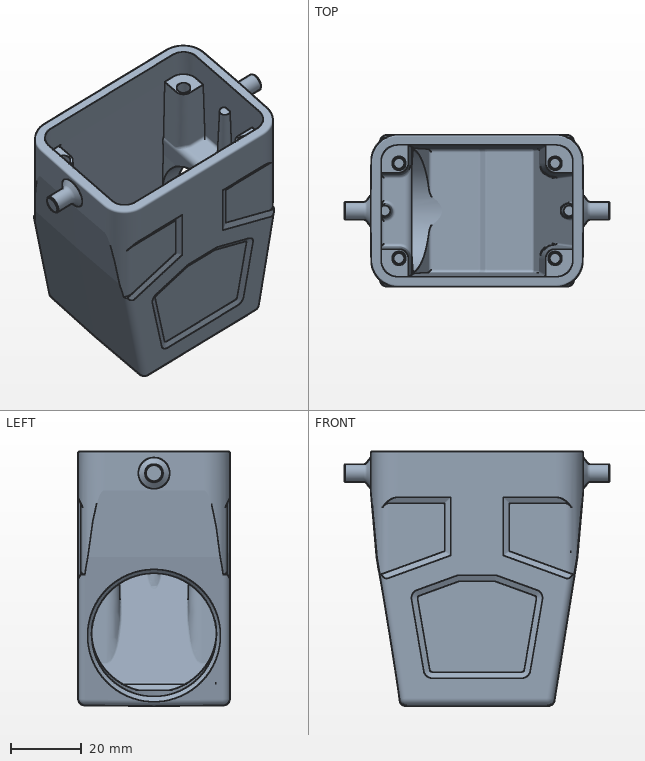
import cadquery as cq
import math

height = 72
half_depth = 43.0 / 2
pin_span = 75

foot_half, knee_half, rim_half = 21.7, 28.4, 30.1
knee_z, shoulder_z = 42.15, 61.0
end_draft = 0.6
column_radius = 7.6
edge_radius = 2.0
rim_radius = 0.6

panel_depth = 0.8
bevel_width = 1.7
grip_corner_radius = 0.6
grip_blend_radius = 3
grip_inner_x = 7.4
grip_top_z = 59.0
grip_low_z = 42.6
panel_draft = math.degrees(math.atan(bevel_width / panel_depth))
brow_slope = math.tan(math.radians(20))
badge_top_half, badge_top_z = 5.3, 37.05
badge_side_half = 18.8
badge_foot_half, badge_foot_z = 14.7, 7.95
badge_radius = 2.4

mouth_half_x, mouth_half_y = 27.1, 18.6
mouth_radius = 4.65
post_top_z = 62.85
floor_half_y = 17.4
floor_z, raised_floor_z = 4.5, 6.2
step_x = 0.75
far_wall_foot_x, far_wall_top_z = 15.9, 45.75
ledge_z, ledge_x = 42, -18.4
ledge_radius = 2.0
ledge_root_radius = 0.9
ledge_foot_x, ledge_slope_z = -13.4, 19.5
floor_radius = 0.9

screw_x, screw_y = 22.05, 13.4
post_radius = 2.6
post_draft = 2.1
root_radius = 0.6
screw_mouth_radius, screw_foot_radius, screw_depth = 1.95, 1.5, 11.25
rib_x, rib_radius, rib_top_z, rib_draft = 26.0, 1.5, 61.5, 2

entry_radius, entry_mouth_radius = 17.6, 19.0
entry_z = 19.95
entry_length = 16.5
pin_radius, pin_z, pin_edge = 2.55, 65.85, 0.3
pin_root_radius, pin_root_x = 4.4, 31.5
pin_root_blend = 0.9

over = 7.5


def near_box(x_min, x_max, z_min, z_max, half_y=half_depth):
    """Selector for edges centred in a box that is symmetric about the parting plane."""
    slack = 0.1
    return cq.selectors.BoxSelector((x_min - slack, -half_y - slack, z_min - slack),
                                    (x_max + slack, half_y + slack, z_max + slack))


def hood_block():
    """Tapered block, drafted both ways from the parting plane, with rounded lower edges."""
    shoulder_slope = (rim_half - knee_half) / (shoulder_z - knee_z)
    top_z = height + over
    top_half = rim_half + shoulder_slope * (top_z - shoulder_z)
    right_side = [(foot_half, 0), (knee_half, knee_z), (top_half, top_z)]
    left_side = [(-x, z) for x, z in reversed(right_side)]
    outline = cq.Workplane("XZ").polyline(right_side + left_side).close()
    front = outline.extrude(half_depth, taper=end_draft)
    wall_edges = front.faces("<Y").edges(near_box(-pin_span, pin_span, 0, height))
    foot_corners = front.faces("<Z").edges("<X or >X")
    front = wall_edges.add(foot_corners).fillet(edge_radius)
    return front.union(front.mirror("XZ"))


def brow_z(x):
    """Height of the sloping lower edge of the grip recesses."""
    return grip_low_z - brow_slope * (x - grip_inner_x)


def upper_column():
    """Round-cornered column that trims the hood above the grip recesses."""
    corner_half = rim_half - half_depth * math.tan(math.radians(end_draft))
    outline = [(rim_half, 0), (corner_half, half_depth), (-corner_half, half_depth),
               (-rim_half, 0), (-corner_half, -half_depth), (corner_half, -half_depth)]
    column = cq.Workplane("XY").polyline(outline).close().extrude(height)
    corners = column.edges("|Z").edges(">Y or <Y")
    return corners.fillet(column_radius).faces(">Z").edges().fillet(rim_radius)


def lower_envelope():
    """Region under the grip recesses, where the hood keeps its small edge radius."""
    reach = rim_half + over
    bevel_rise = bevel_width * math.hypot(1, brow_slope)
    roof_ends = [(reach, brow_z(reach) + bevel_rise), (grip_inner_x, grip_low_z + bevel_rise)]
    right_side = [(reach, -over)] + roof_ends
    left_side = [(-x, z) for x, z in reversed(right_side)]
    outline = cq.Workplane("XZ").polyline(right_side + left_side).close()
    return outline.extrude(half_depth + over, both=True)


def both_walls(cutter):
    """Add the mirror image of a cutter for the opposite broad wall."""
    return cutter.union(cutter.mirror("XZ"))


def wall_plane():
    """Workplane on the front broad wall."""
    return cq.Workplane("XZ", origin=(0, -half_depth, 0))


def grip_recesses():
    """Bevelled recesses in the four upper corners, open toward the end walls."""
    reach = rim_half + over
    outline = [(grip_inner_x, grip_top_z), (reach, grip_top_z),
               (reach, brow_z(reach)), (grip_inner_x, grip_low_z)]
    right = wall_plane().polyline(outline).close().extrude(-panel_depth, taper=panel_draft)
    bevel_middle = grip_inner_x + bevel_width / 2
    right = right.edges(near_box(bevel_middle, bevel_middle, 0, height)).fillet(grip_corner_radius)
    return both_walls(right.union(right.mirror("YZ")))


def blend_grips(body):
    """Round the upright edges where the grip floors meet the round corners of the hood."""
    floor_y = half_depth - panel_depth
    corner_x = rim_half - column_radius
    for side in (-1, 1):
        ends = sorted((side * corner_x, side * rim_half))
        body = body.edges(near_box(*ends, knee_z, grip_top_z - over, floor_y)).fillet(grip_blend_radius)
    return body


def badge_panels():
    """Bevelled five-sided panel with a flat top, one in each broad wall."""
    shoulder = badge_top_z - brow_slope * (badge_side_half - badge_top_half)
    right = [(badge_foot_half, badge_foot_z), (badge_side_half, shoulder), (badge_top_half, badge_top_z)]
    left = [(-x, z) for x, z in reversed(right)]
    prism = wall_plane().polyline(right + left).close().extrude(-panel_depth)
    rounded = prism.edges("|Y").edges(near_box(-badge_side_half, badge_side_half, badge_foot_z, shoulder))
    outline = rounded.fillet(badge_radius).faces("<Y").wires()
    return both_walls(outline.toPending().extrude(-panel_depth, taper=panel_draft, combine=False))


def cavity():
    """Open-topped chamber with drafted broad walls, sloping end walls and a stepped floor."""
    rise = raised_floor_z - floor_z
    profile = [(-mouth_half_x, post_top_z), (-mouth_half_x, ledge_z), (ledge_x, ledge_z),
               (ledge_x, ledge_slope_z), (ledge_foot_x, floor_z), (step_x, floor_z),
               (step_x + rise, raised_floor_z), (far_wall_foot_x, raised_floor_z),
               (mouth_half_x, far_wall_top_z), (mouth_half_x, post_top_z)]
    lengthwise = cq.Workplane("XZ").polyline(profile).close().extrude(half_depth, both=True)
    section = [(-floor_half_y, floor_z), (floor_half_y, floor_z),
               (mouth_half_y, post_top_z), (-mouth_half_y, post_top_z)]
    crosswise = cq.Workplane("YZ").polyline(section).close().extrude(pin_span, both=True)
    chamber = lengthwise.intersect(crosswise)
    floor_edges = near_box(ledge_foot_x, far_wall_foot_x, floor_z, raised_floor_z)
    chamber = chamber.edges(floor_edges).fillet(floor_radius)
    lip = near_box(ledge_x, ledge_x, ledge_z, ledge_z)
    chamber = chamber.edges(lip).fillet(ledge_radius)
    mouth = cq.Workplane("XY", origin=(0, 0, post_top_z))
    mouth = mouth.rect(2 * mouth_half_x, 2 * mouth_half_y).extrude(height - post_top_z + over)
    return chamber.union(mouth.edges("|Z").fillet(mouth_radius))


def screw_posts():
    """Four corner posts, widening downward, that fill the cavity corners below the mouth."""
    width, depth = rim_half - screw_x + post_radius, half_depth - screw_y + post_radius
    inner_corner = (screw_x - post_radius, screw_y - post_radius)
    blank = cq.Workplane("XY", origin=(*inner_corner, post_top_z)).box(width, depth, over, centered=False)
    outline = blank.edges("|Z and <X and <Y").fillet(post_radius).faces("<Z").wires().toPending()
    post = outline.workplane(origin=(0, 0, post_top_z)).extrude(post_top_z, taper=-post_draft, combine=False)
    pair = [post, post.mirror("YZ")]
    return pair + [each.mirror("XZ") for each in pair]


def end_ribs():
    """Slim round ribs, widening downward, at the middle of both end walls."""
    rib_foot_radius = rib_radius + rib_top_z * math.tan(math.radians(rib_draft))
    rib = cq.Solid.makeCone(rib_foot_radius, rib_radius, rib_top_z)
    return [cq.Workplane(rib.translate(cq.Vector(x, 0, 0))) for x in (-rib_x, rib_x)]


def screw_holes():
    """Blind holes in the post tops, narrowing with depth."""
    foot = cq.Vector(0, 0, -screw_depth)
    hole = cq.Solid.makeCone(screw_foot_radius, screw_mouth_radius, screw_depth, foot)
    post_tops = cq.Workplane("XY", origin=(0, 0, post_top_z))
    places = post_tops.rect(2 * screw_x, 2 * screw_y, forConstruction=True)
    return places.vertices().eachpoint(lambda place: hole.moved(place), combine=False)


def cable_entry():
    """Bore with a bevelled mouth, square to the sloping left end wall."""
    lean = (knee_half - foot_half) / knee_z
    bevel = entry_mouth_radius - entry_radius
    mouth = cq.Vector(-foot_half - lean * entry_z, 0, entry_z)
    inward = cq.Vector(1, 0, lean)
    bore = cq.Solid.makeCylinder(entry_radius, entry_length + over, mouth - inward * over, inward)
    outside = mouth - inward.normalized() * bevel
    cone = cq.Solid.makeCone(entry_mouth_radius + bevel, entry_radius, 2 * bevel, outside, inward)
    return cq.Workplane(bore).union(cq.Workplane(cone))


def locking_pins():
    """Round pins on flared roots, one on each end wall."""
    tip = pin_span / 2
    seat = (mouth_half_x + rim_half) / 2
    half_section = [(seat, 0), (tip, 0), (tip, pin_radius - pin_edge), (tip - pin_edge, pin_radius),
                    (pin_root_x, pin_radius), (rim_half, pin_root_radius), (seat, pin_root_radius)]
    outline = cq.Workplane("XY", origin=(0, 0, pin_z)).polyline(half_section).close()
    pin = outline.revolve(360, (0, 0), (1, 0))
    pin = pin.edges(near_box(pin_root_x, pin_root_x, 0, height)).fillet(pin_root_blend)
    return pin.union(pin.mirror("YZ"))


def fitted_chamber():
    """Cavity less the posts and ribs, with blended roots on the far wall and around the ledge."""
    chamber = cavity()
    for filling in screw_posts() + end_ribs():
        chamber = chamber.cut(filling)
    above_floor_blend = raised_floor_z + 2 * floor_radius
    far_wall = near_box(far_wall_foot_x, rib_x, above_floor_blend, post_top_z - over)
    chamber = chamber.edges(far_wall).fillet(root_radius)
    ledge = near_box(-mouth_half_x, ledge_x, ledge_z, ledge_z)
    return chamber.edges(ledge).fillet(ledge_root_radius)


hood = hood_block()
hood = hood.intersect(upper_column()).union(hood.intersect(lower_envelope()))
hood = blend_grips(hood.cut(grip_recesses())).cut(badge_panels())
hood = hood.cut(fitted_chamber()).cut(screw_holes()).cut(cable_entry())
result = hood.union(locking_pins())